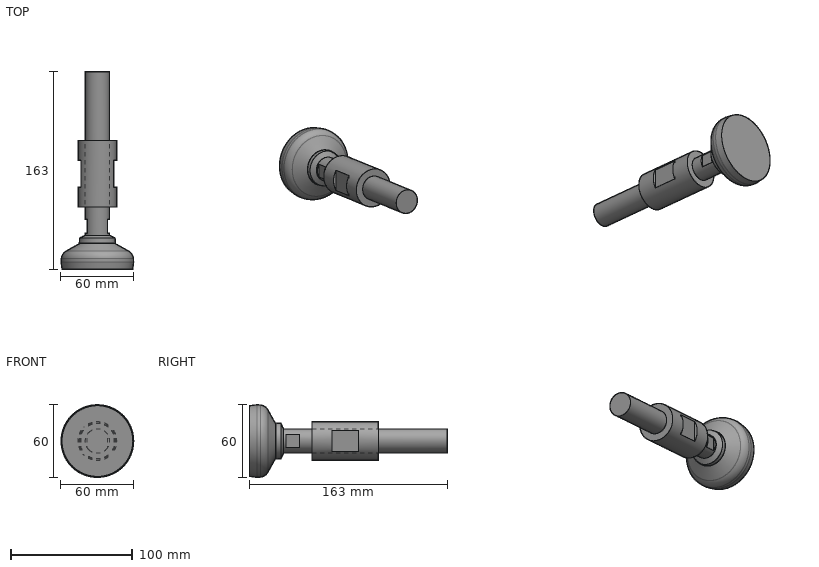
import cadquery as cq
import math

TOTAL_LENGTH = 163.0
SPINDLE_DIAMETER = 20.0
SPINDLE_FLAT_WIDTH = 17.0
SPINDLE_FLAT_START = 30.0
SPINDLE_FLAT_LENGTH = 11.2

SLEEVE_DIAMETER = 32.0
SLEEVE_START = 51.3
SLEEVE_LENGTH = 55.0
SLEEVE_FLAT_WIDTH = 27.0
SLEEVE_FLAT_LENGTH = 22.0

FOOT_DIAMETER = 60.0
BASE_DIAMETER = 58.4
RIM_HEIGHT = 6.0
BAND_HEIGHT = 3.0
BAND_TOP_DIAMETER = 59.7
SHOULDER_TOP_HEIGHT = 15.3
SHOULDER_TOP_DIAMETER = 51.2
COLLAR_BOTTOM_HEIGHT = 21.5
NECK_DIAMETER = 29.0
COLLAR_LIP_HEIGHT = 0.5
COLLAR_BOTTOM_DIAMETER = 30.0
COLLAR_TOP_HEIGHT = 25.9
COLLAR_TOP_DIAMETER = 29.3
FOOT_HEIGHT = 28.2


def rod(diameter, start, length):
    """Cylinder along +Y, starting at the given Y."""
    return (
        cq.Workplane("XZ", origin=(0, start, 0))
        .circle(diameter / 2)
        .extrude(-length)
    )


def cut_wrench_flats(body, diameter, width, start, length):
    """Cut two flats on the -X and +X sides, a given width apart."""
    depth = (diameter - width) / 2
    for side in (-1, 1):
        cutter = cq.Workplane("XY").box(depth, length, diameter).translate(
            (side * (width + depth) / 2, start + length / 2, 0)
        )
        body = body.cut(cutter)
    return body


def make_foot():
    """Revolved foot plate with a rounded shoulder, a cone and a collar."""
    neck = (NECK_DIAMETER / 2, COLLAR_BOTTOM_HEIGHT)
    shoulder_top = (SHOULDER_TOP_DIAMETER / 2, SHOULDER_TOP_HEIGHT)
    shoulder_bottom = (BAND_TOP_DIAMETER / 2, RIM_HEIGHT + BAND_HEIGHT)

    chord_x = shoulder_bottom[0] - shoulder_top[0]
    chord_y = shoulder_bottom[1] - shoulder_top[1]
    cone_angle = math.atan2(shoulder_top[1] - neck[1], shoulder_top[0] - neck[0])
    turn = cone_angle - math.atan2(chord_y, chord_x)
    bulge = math.tan(turn / 2) / 2
    shoulder_middle = (
        (shoulder_top[0] + shoulder_bottom[0]) / 2 - bulge * chord_y,
        (shoulder_top[1] + shoulder_bottom[1]) / 2 + bulge * chord_x,
    )

    return (
        cq.Workplane("XY")
        .moveTo(0, 0)
        .lineTo(BASE_DIAMETER / 2, 0)
        .lineTo(FOOT_DIAMETER / 2, RIM_HEIGHT)
        .lineTo(*shoulder_bottom)
        .threePointArc(shoulder_middle, shoulder_top)
        .lineTo(*neck)
        .lineTo(COLLAR_BOTTOM_DIAMETER / 2, COLLAR_BOTTOM_HEIGHT + COLLAR_LIP_HEIGHT)
        .lineTo(COLLAR_TOP_DIAMETER / 2, COLLAR_TOP_HEIGHT)
        .lineTo(SPINDLE_DIAMETER / 2, FOOT_HEIGHT)
        .lineTo(0, FOOT_HEIGHT)
        .close()
        .revolve(360, (0, 0, 0), (0, 1, 0))
    )


def make_footed_spindle():
    """Spindle with wrench flats, in one piece with its foot."""
    spindle = rod(SPINDLE_DIAMETER, FOOT_HEIGHT, TOTAL_LENGTH - FOOT_HEIGHT)
    spindle = cut_wrench_flats(
        spindle, SPINDLE_DIAMETER, SPINDLE_FLAT_WIDTH, SPINDLE_FLAT_START, SPINDLE_FLAT_LENGTH
    )
    return make_foot().union(spindle)


def make_sleeve():
    """Sleeve around the spindle, with wrench flats midway along it."""
    sleeve = rod(SLEEVE_DIAMETER, SLEEVE_START, SLEEVE_LENGTH)
    sleeve = sleeve.cut(rod(SPINDLE_DIAMETER, SLEEVE_START, SLEEVE_LENGTH))
    flat_start = SLEEVE_START + (SLEEVE_LENGTH - SLEEVE_FLAT_LENGTH) / 2
    return cut_wrench_flats(
        sleeve, SLEEVE_DIAMETER, SLEEVE_FLAT_WIDTH, flat_start, SLEEVE_FLAT_LENGTH
    )


footed_spindle = make_footed_spindle()
sleeve = make_sleeve()

result = cq.Compound.makeCompound([footed_spindle.val(), sleeve.val()])